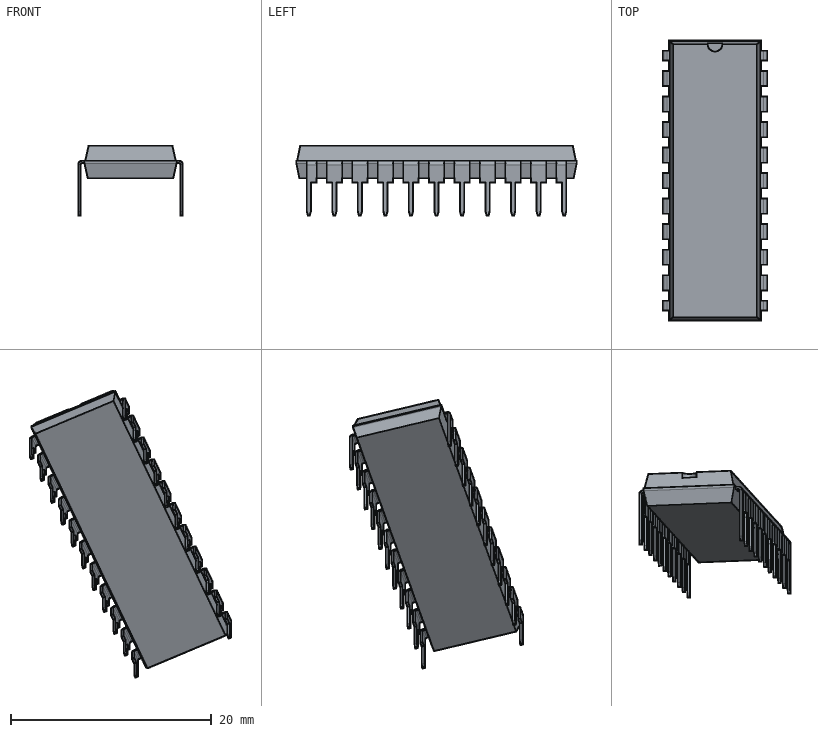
import cadquery as cq
import math

overall_height = 6.98

body_length = 27.95
body_width = 9.2
band_height = 0.25
half_height = 1.5
side_taper = 0.34
end_taper = 0.3
ledge = 0.08

notch_radius = 0.73
notch_depth = 0.55

leads_per_row = 11
lead_pitch = 2.55
row_span = 10.42
lead_thickness = band_height
bend_radius = 0.4
shoulder_width = 1.55
pin_width = 0.45
shoulder_drop = 2.18
tip_width = 0.2
tip_height = 0.45

body_top = overall_height
band_top = body_top - half_height
band_bottom = band_top - band_height
shoulder_bottom = band_top - shoulder_drop


def tapered_half(base_z, width, length, direction):
    """Frustum growing from base_z upward (direction 1) or downward (direction -1)."""
    return (
        cq.Workplane("XY", origin=(0, 0, base_z))
        .rect(width, length)
        .workplane(offset=direction * half_height)
        .rect(width - 2 * side_taper, length - 2 * end_taper)
        .loft(ruled=True)
    )


def make_body():
    band = cq.Workplane("XY", origin=(0, 0, band_bottom)).rect(body_width, body_length).extrude(band_height)
    upper = tapered_half(band_top, body_width - 2 * ledge, body_length - 2 * ledge, 1)
    lower = tapered_half(band_bottom, body_width, body_length, -1)
    return band.union(upper).union(lower)


def make_notch():
    top_face_end = body_length / 2 - ledge - end_taper
    floor_z = body_top - notch_depth
    return cq.Workplane("XY", origin=(0, top_face_end, floor_z)).circle(notch_radius).extrude(notch_depth)


def make_bent_strip():
    """Strip with an L-shaped XZ section on the +X side, running the full body length."""
    outer_x = row_span / 2
    inner_x = outer_x - lead_thickness
    root_x = body_width / 2 - side_taper
    bend_x = outer_x - bend_radius
    bend_z = band_top - bend_radius
    inner_radius = bend_radius - lead_thickness
    outer_mid = bend_radius * math.sqrt(0.5)
    inner_mid = inner_radius * math.sqrt(0.5)
    return (
        cq.Workplane("XZ")
        .moveTo(root_x, band_top)
        .lineTo(bend_x, band_top)
        .threePointArc((bend_x + outer_mid, bend_z + outer_mid), (outer_x, bend_z))
        .lineTo(outer_x, 0)
        .lineTo(inner_x, 0)
        .lineTo(inner_x, bend_z)
        .threePointArc((bend_x + inner_mid, bend_z + inner_mid), (bend_x, band_bottom))
        .lineTo(root_x, band_bottom)
        .close()
        .extrude(body_length / 2, both=True)
    )


def make_lead_prism(index):
    """Face-on shape of one lead as a prism along X; end leads have no shoulder on their outer side."""
    center_y = (index - (leads_per_row - 1) / 2) * lead_pitch
    left = pin_width / 2 if index == 0 else shoulder_width / 2
    right = pin_width / 2 if index == leads_per_row - 1 else shoulder_width / 2
    shoulder = (
        cq.Workplane("YZ", origin=(0, center_y, 0))
        .moveTo(-left, shoulder_bottom)
        .lineTo(right, shoulder_bottom)
        .lineTo(right, band_top)
        .lineTo(-left, band_top)
        .close()
        .extrude(row_span)
    )
    pin = (
        cq.Workplane("YZ", origin=(0, center_y, 0))
        .moveTo(-tip_width / 2, 0)
        .lineTo(tip_width / 2, 0)
        .lineTo(pin_width / 2, tip_height)
        .lineTo(pin_width / 2, band_top)
        .lineTo(-pin_width / 2, band_top)
        .lineTo(-pin_width / 2, tip_height)
        .close()
        .extrude(row_span)
    )
    return shoulder.union(pin)


result = make_body().cut(make_notch())
bent_strip = make_bent_strip()
for lead_index in range(leads_per_row):
    lead = bent_strip.intersect(make_lead_prism(lead_index))
    result = result.union(lead).union(lead.mirror("YZ"))